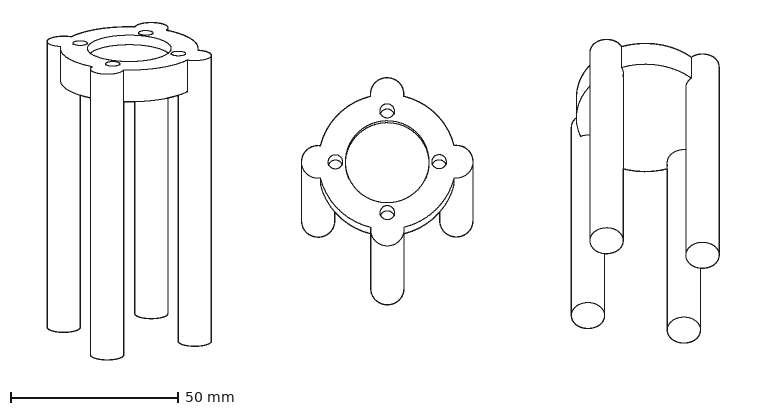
import cadquery as cq
import math

head_diameter = 41.2
head_height = 10.0
total_height = 90.0

recess_diameter = 25.0
recess_depth = 3.0

leg_diameter = 10.0
leg_offset = 14.6
hole_diameter = 4.3
hole_circle_radius = 15.5
hole_depth = 8.0

hole_offset = hole_circle_radius / math.sqrt(2)


def diagonal_points(offset):
    """Four points, one in each quadrant, at equal distance from both axes."""
    return [(x * offset, y * offset) for x in (-1, 1) for y in (-1, 1)]


def make_head():
    """Disc that carries the legs, with its top face at the total height."""
    base = cq.Workplane("XY").workplane(offset=total_height - head_height)
    return base.circle(head_diameter / 2).extrude(head_height)


def make_legs():
    """Four round legs running the full height of the part."""
    centres = diagonal_points(leg_offset)
    return cq.Workplane("XY").pushPoints(centres).circle(leg_diameter / 2).extrude(total_height)


def make_top_cuts():
    """Central recess and four blind screw holes, sunk from the top face."""
    top = cq.Workplane("XY").workplane(offset=total_height)
    recess = top.circle(recess_diameter / 2).extrude(-recess_depth)
    holes = top.pushPoints(diagonal_points(hole_offset)).circle(hole_diameter / 2).extrude(-hole_depth)
    return recess.union(holes)


result = make_head().union(make_legs()).cut(make_top_cuts())